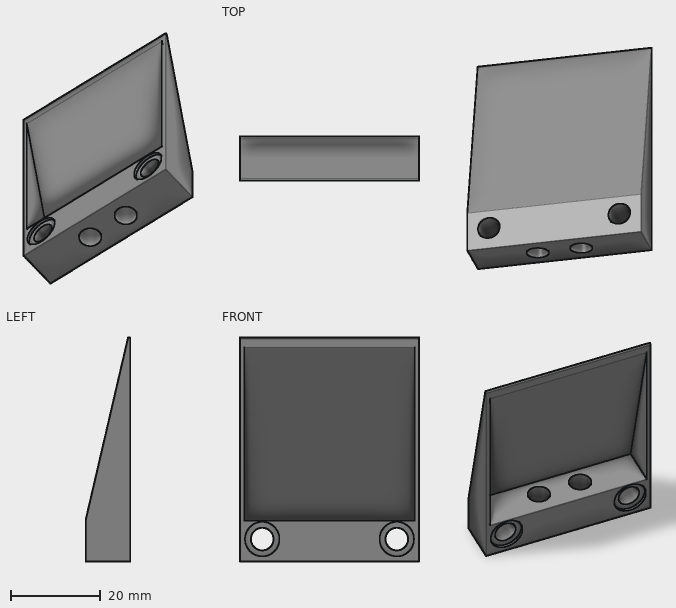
import cadquery as cq
import math

width = 40.0
depth = 10.0
height = 50.0
base_height = 9.3
tip_radius = 0.3
edge_radius = 0.1

side_wall = 1.0
pocket_bottom = 9.15
pocket_top = 47.75

mount_diameter = 5.0
mount_bore_diameter = 7.7
mount_bore_depth = 0.7
mount_spacing = 30.0
mount_height = 5.0

base_hole_diameter = 5.0
base_hole_spacing = 10.0
base_hole_y = depth / 2

tip_y = tip_radius
tip_z = height - tip_radius
run = depth - tip_y
rise = tip_z - base_height
slope_angle = math.atan2(run, rise) - math.asin(tip_radius / math.hypot(run, rise))


def tip_point(angle):
    """Point on the tip round, with the angle measured from +Y towards +Z."""
    return tip_y + tip_radius * math.cos(angle), tip_z + tip_radius * math.sin(angle)


def extrude_profile(profile, length):
    """Extrude a YZ profile symmetrically about X = 0."""
    return profile.close().extrude(length / 2, both=True)


def wedge():
    profile = (
        cq.Workplane("YZ")
        .lineTo(depth, 0)
        .lineTo(depth, base_height)
        .lineTo(*tip_point(slope_angle))
        .threePointArc(tip_point(math.pi / 2), tip_point(math.pi))
    )
    body = extrude_profile(profile, width)
    return body.faces("<X or >X or <Z").edges().fillet(edge_radius)


def pocket():
    pocket_depth = (pocket_top - pocket_bottom) * math.tan(slope_angle)
    profile = (
        cq.Workplane("YZ")
        .moveTo(0, pocket_bottom)
        .lineTo(pocket_depth, pocket_bottom)
        .lineTo(0, pocket_top)
    )
    return extrude_profile(profile, width - 2 * side_wall)


def mounting_hole(x):
    front = cq.Workplane("XZ").center(x, mount_height)
    bore = front.circle(mount_bore_diameter / 2).extrude(-mount_bore_depth)
    return front.circle(mount_diameter / 2).extrude(-depth).union(bore)


def base_hole(x):
    base = cq.Workplane("XY").center(x, base_hole_y)
    return base.circle(base_hole_diameter / 2).extrude(pocket_bottom)


def round_pocket_lip(body):
    """Round the long edge between the front face and the pocket's bottom wall."""
    reach = edge_radius / 2
    lip = cq.selectors.BoxSelector(
        (-width / 2, -reach, pocket_bottom - reach),
        (width / 2, reach, pocket_bottom + reach),
    )
    return body.edges(lip).fillet(edge_radius)


result = round_pocket_lip(wedge().cut(pocket()))
for side in (-1, 1):
    result = result.cut(mounting_hole(side * mount_spacing / 2))
    result = result.cut(base_hole(side * base_hole_spacing / 2))